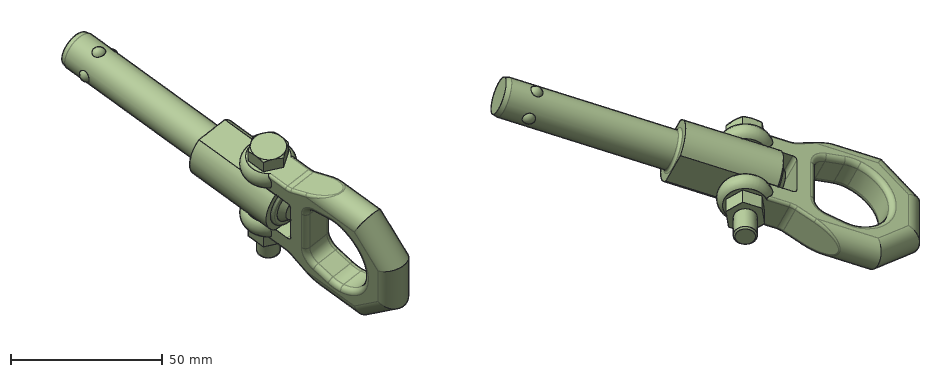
import cadquery as cq
import math


pin_tip_x = -88.5
shank_radius = 6.9
tip_chamfer_length = 1.8
tip_chamfer_depth = 0.5
body_start_x = -25.9
body_end_x = 9.2
body_radius = 10.7
flat_height = 8.7
neck_radius = 1.0
collar_radius = 8.6
collar_end_x = 10.4
collar_rounding = 0.8
button_base_radius = 6.6
button_end_radius = 4.7
button_end_x = 12.5
ball_radius = 2.5
ball_x = -77.7
ball_reach = 8.1
ball_count = 4

shackle_end_x = 62.0
shackle_thickness = 12.0
ring_inradius = 24.5
ring_center_x = shackle_end_x - ring_inradius
ring_side_angles = (-90, -45, 0, 45, 90)
arm_height = 15.8
shoulder_x = 14.7
shoulder_angle = 25
shoulder_blend = 5.3
shackle_edge_rounding = 1.0
slot_end_x = 16.0
slot_corner_radius = 1.5

eye_left_x = 22.9
eye_right_x = 49.7
eye_nose_radius = 15.0
eye_crown_radius = 10.5
eye_half_height = 14.9
eye_corner_radius = 5.0
eye_side_angle = 12
eye_edge_rounding = 2.0

boss_face_radius = 7.5
boss_radius = 9.5
hex_across_flats = 12.0
head_top_z = 20.9
head_chamfer_angle = 30
nut_bottom_z = -21.8
bolt_radius = 3.99
bolt_end_z = -31.2
bolt_end_chamfer = 0.6


def make_shank_and_body():
    """Turned shank, flatted body, collar and push button along X."""
    turned = (
        cq.Workplane("XY")
        .moveTo(pin_tip_x, 0)
        .lineTo(pin_tip_x, shank_radius - tip_chamfer_depth)
        .lineTo(pin_tip_x + tip_chamfer_length, shank_radius)
        .lineTo(body_start_x - neck_radius, shank_radius)
        .radiusArc((body_start_x, shank_radius + neck_radius), -neck_radius)
        .lineTo(body_start_x, body_radius)
        .lineTo(body_end_x, body_radius)
        .lineTo(body_end_x, collar_radius)
        .lineTo(collar_end_x - collar_rounding, collar_radius)
        .radiusArc((collar_end_x, collar_radius - collar_rounding), collar_rounding)
        .lineTo(collar_end_x, button_base_radius)
        .lineTo(button_end_x, button_end_radius)
        .lineTo(button_end_x, 0)
        .close()
        .revolve(360, (0, 0, 0), (1, 0, 0))
    )
    pin_length = button_end_x - pin_tip_x
    between_flats = cq.Workplane("XY").box(pin_length, 2 * body_radius, 2 * flat_height)
    between_flats = between_flats.translate(((pin_tip_x + button_end_x) / 2, 0, 0))
    return turned.intersect(between_flats)


def make_ball(index):
    """One locking ball, turned about the pin axis to its place."""
    ball = cq.Workplane("XY").sphere(ball_radius)
    ball = ball.translate((ball_x, 0, ball_reach - ball_radius))
    return ball.rotate((0, 0, 0), (1, 0, 0), index * 360 / ball_count)


def make_pin():
    pin = make_shank_and_body()
    for index in range(ball_count):
        pin = pin.union(make_ball(index))
    bolt_hole = cq.Workplane("XY").circle(bolt_radius).extrude(flat_height, both=True)
    return pin.cut(bolt_hole)


def extrude_across(outline):
    """Extrude an XZ outline over the thickness of the shackle, centred on Y = 0."""
    return outline.extrude(shackle_thickness / 2, both=True)


def make_ring_side(angle):
    """Slab with one half-round edge, forming the outer side of the ring that faces this angle."""
    half = shackle_thickness / 2
    reach = 2 * (shackle_end_x + ring_inradius)
    slab = (
        cq.Workplane("XY")
        .moveTo(-reach, -half)
        .lineTo(ring_inradius - half, -half)
        .threePointArc((ring_inradius, 0), (ring_inradius - half, half))
        .lineTo(-reach, half)
        .close()
        .extrude(reach, both=True)
    )
    return slab.rotate((0, 0, 0), (0, 1, 0), -angle).translate((ring_center_x, 0, 0))


def make_shackle_blank():
    """Arms, sloping shoulders and rounded octagonal ring, without openings."""
    shoulder_rise = (shackle_end_x - shoulder_x) * math.tan(math.radians(shoulder_angle))
    end_height = arm_height + shoulder_rise
    blank = extrude_across(
        cq.Workplane("XZ").polyline([
            (0, -arm_height),
            (shoulder_x, -arm_height),
            (shackle_end_x, -end_height),
            (shackle_end_x, end_height),
            (shoulder_x, arm_height),
            (0, arm_height),
        ]).close()
    )
    for side in (-1, 1):
        shoulder_corner = cq.selectors.NearestToPointSelector((shoulder_x, 0, side * arm_height))
        blank = blank.edges("|Y").edges(shoulder_corner).fillet(shoulder_blend)
    for angle in ring_side_angles:
        blank = blank.intersect(make_ring_side(angle))
    for side in (-1, 1):
        edge_point = (shoulder_x / 2, -shackle_thickness / 2, side * arm_height)
        arm_edge = cq.selectors.NearestToPointSelector(edge_point)
        blank = blank.edges(arm_edge).fillet(shackle_edge_rounding)
    return blank


def make_slot():
    """Space between the arms that takes the body of the pin."""
    slot = cq.Workplane("XY").box(2 * slot_end_x, shackle_thickness, 2 * flat_height)
    return slot.edges("|Y and >X").fillet(slot_corner_radius)


def make_eye():
    """Opening of the ring: a large nose arc, two crown arcs, tilted sides and a straight back."""
    nose_x = eye_right_x - eye_nose_radius
    offset = eye_nose_radius - eye_crown_radius
    crown_z = eye_half_height - eye_crown_radius
    crown_x = nose_x + math.sqrt(offset**2 - crown_z**2)
    nose_end = (
        nose_x + (crown_x - nose_x) * eye_nose_radius / offset,
        crown_z * eye_nose_radius / offset,
    )
    tilt = math.radians(eye_side_angle)
    side_start = (
        crown_x - eye_crown_radius * math.sin(tilt),
        crown_z + eye_crown_radius * math.cos(tilt),
    )
    corner_x = eye_left_x + eye_corner_radius
    side_end_x = corner_x - eye_corner_radius * math.sin(tilt)
    side_end = (side_end_x, side_start[1] - (side_start[0] - side_end_x) * math.tan(tilt))
    back_end = (eye_left_x, side_end[1] - eye_corner_radius * math.cos(tilt))

    def mirrored(point):
        return (point[0], -point[1])

    return extrude_across(
        cq.Workplane("XZ")
        .moveTo(*mirrored(nose_end))
        .threePointArc((eye_right_x, 0), nose_end)
        .radiusArc(side_start, -eye_crown_radius)
        .lineTo(*side_end)
        .radiusArc(back_end, -eye_corner_radius)
        .lineTo(*mirrored(back_end))
        .radiusArc(mirrored(side_end), -eye_corner_radius)
        .lineTo(*mirrored(side_start))
        .radiusArc(mirrored(nose_end), -eye_crown_radius)
        .close()
    )


def cut_eye(blank):
    """Cut the eye and round its rim on both faces."""
    ring = blank.cut(make_eye())
    for side in (-1, 1):
        rim = cq.selectors.NearestToPointSelector((eye_left_x, side * shackle_thickness / 2, 0))
        ring = ring.edges(rim).fillet(eye_edge_rounding)
    return ring


def make_boss():
    """Bulged round boss on the upper arm, as tall as the arm."""
    return (
        cq.Workplane("XZ")
        .moveTo(0, flat_height)
        .lineTo(boss_face_radius, flat_height)
        .threePointArc((boss_radius, (flat_height + arm_height) / 2), (boss_face_radius, arm_height))
        .lineTo(0, arm_height)
        .close()
        .revolve(360, (0, 0, 0), (0, 1, 0))
    )


def make_hexagon(bottom_z, top_z):
    """Hexagonal prism with two corners on the X axis."""
    across_corners = hex_across_flats / math.cos(math.radians(30))
    hexagon = cq.Workplane("XY").workplane(offset=bottom_z).polygon(6, across_corners)
    return hexagon.extrude(top_z - bottom_z)


def make_bolt_head():
    """Hexagonal head whose corners are cut back by a cone at the top."""
    head_height = head_top_z - arm_height
    top_radius = hex_across_flats / 2
    base_radius = top_radius + head_height / math.tan(math.radians(head_chamfer_angle))
    cone = cq.Solid.makeCone(base_radius, top_radius, head_height, cq.Vector(0, 0, arm_height))
    return make_hexagon(arm_height, head_top_z).intersect(cq.Workplane(cone))


def make_bolt():
    """Bolt with head and nut, passing through both arms and the pin."""
    stem = cq.Workplane("XY").workplane(offset=bolt_end_z).circle(bolt_radius)
    stem = stem.extrude(arm_height - bolt_end_z).faces("<Z").chamfer(bolt_end_chamfer)
    return stem.union(make_bolt_head()).union(make_hexagon(nut_bottom_z, -arm_height))


def make_shackle():
    shackle = cut_eye(make_shackle_blank()).cut(make_slot())
    upper_boss = make_boss()
    lower_boss = upper_boss.mirror("XY")
    return shackle.union(upper_boss).union(lower_boss).union(make_bolt())


pin = make_pin()
shackle = make_shackle()

result = cq.Compound.makeCompound([pin.val(), shackle.val()])